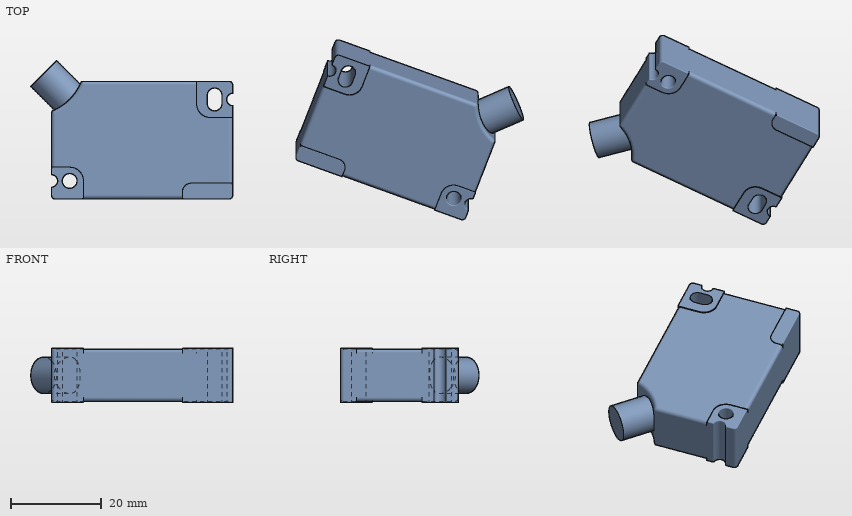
import cadquery as cq
import math

length = 40.0
width = 26.0
height = 12.0
pad_raise = 0.22
body_height = height - 2 * pad_raise
edge_radius = 0.85

corner_cut = 6.6
corner_arc_depth = 1.0
corner_tip_radius = 0.55

cable_diameter = 8.07
cable_reach = 2.45
cable_root = 7.15

hole_pad_size = 7.05
slot_pad_size = 8.0
bar_pad_length = 11.15
bar_pad_width = 3.52
large_pad_radius = 3.0
bar_pad_radius = 2.0
pad_edge_radius = 0.2

opening_inset = 4.0
opening_width = 3.2
slot_length = 5.0
notch_radius = 1.35
notch_mouth_radius = 0.25

select_margin = 0.05


def prism(sketch, depth):
    """Extrude a closed outline symmetrically about Z = 0."""
    return sketch.extrude(depth / 2, both=True)


def upright_edges(x_min, y_min, x_max, y_max):
    """Selector for edges centred on Z = 0 within a small margin of an XY rectangle."""
    return cq.selectors.BoxSelector(
        (x_min - select_margin, y_min - select_margin, -select_margin),
        (x_max + select_margin, y_max + select_margin, select_margin),
    )


def housing_outline(depth):
    """Rounded rectangle whose upper-left corner is scooped out by an arc."""
    arc_offset = corner_cut / 2 + corner_arc_depth / math.sqrt(2)
    outline = (
        cq.Workplane("XY")
        .lineTo(length, 0)
        .lineTo(length, width)
        .lineTo(corner_cut, width)
        .threePointArc((arc_offset, width - arc_offset), (0, width - corner_cut))
        .close()
    )
    solid = prism(outline, depth)
    square_corners = upright_edges(0, 0, length, 0) + upright_edges(length, width, length, width)
    arc_tips = upright_edges(0, width - corner_cut, corner_cut, width)
    solid = solid.edges("|Z").edges(square_corners).fillet(edge_radius)
    return solid.edges("|Z").edges(arc_tips).fillet(corner_tip_radius)


def corner_pad(x_corner, y_corner, x_size, y_size, radius):
    """Full-height pad in a housing corner; signed sizes point into the housing."""
    rectangle = (
        cq.Workplane("XY")
        .center(x_corner + x_size / 2, y_corner + y_size / 2)
        .rect(abs(x_size), abs(y_size))
    )
    inner_corner = cq.selectors.NearestToPointSelector((x_corner + x_size, y_corner + y_size, 0))
    pad = prism(rectangle, height).edges("|Z").edges(inner_corner).fillet(radius)
    return pad.intersect(housing_outline(height))


def round_rims(pad):
    """Round every edge of the pad's top and bottom faces."""
    return pad.faces("|Z").edges().fillet(pad_edge_radius)


def notch(x, y):
    """Cutter for a half-round groove running the full height of a side wall."""
    return prism(cq.Workplane("XY").center(x, y).circle(notch_radius), height)


slot_x = length - opening_inset
slot_y = width - opening_inset
round_hole = prism(
    cq.Workplane("XY").center(opening_inset, opening_inset).circle(opening_width / 2), height
)
slot = prism(
    cq.Workplane("XY").center(slot_x, slot_y).slot2D(slot_length, opening_width, 90), height
)
left_openings = round_hole.union(notch(0, opening_inset))
right_openings = slot.union(notch(length, slot_y))

body = housing_outline(body_height).faces("|Z").edges().fillet(edge_radius)

hole_pad_blank = corner_pad(0, 0, hole_pad_size, hole_pad_size, large_pad_radius)
mouth = upright_edges(0, opening_inset - notch_radius, 0, opening_inset + notch_radius)
hole_pad = hole_pad_blank.cut(left_openings).edges("|Z").edges(mouth).fillet(notch_mouth_radius)
hole_pad = round_rims(hole_pad)
bar_pad = round_rims(corner_pad(length, 0, -bar_pad_length, bar_pad_width, bar_pad_radius))
slot_pad = corner_pad(length, width, -slot_pad_size, -slot_pad_size, large_pad_radius)

diagonal = 1 / math.sqrt(2)
cable = (
    cq.Workplane(
        cq.Plane(
            origin=(-cable_reach * diagonal, width + cable_reach * diagonal, 0),
            xDir=(-1, -1, 0),
            normal=(1, -1, 0),
        )
    )
    .circle(cable_diameter / 2)
    .extrude(cable_reach + cable_root)
)

result = (
    body.union(slot_pad)
    .cut(right_openings)
    .cut(hole_pad_blank)
    .union(hole_pad)
    .union(bar_pad)
    .union(cable)
)